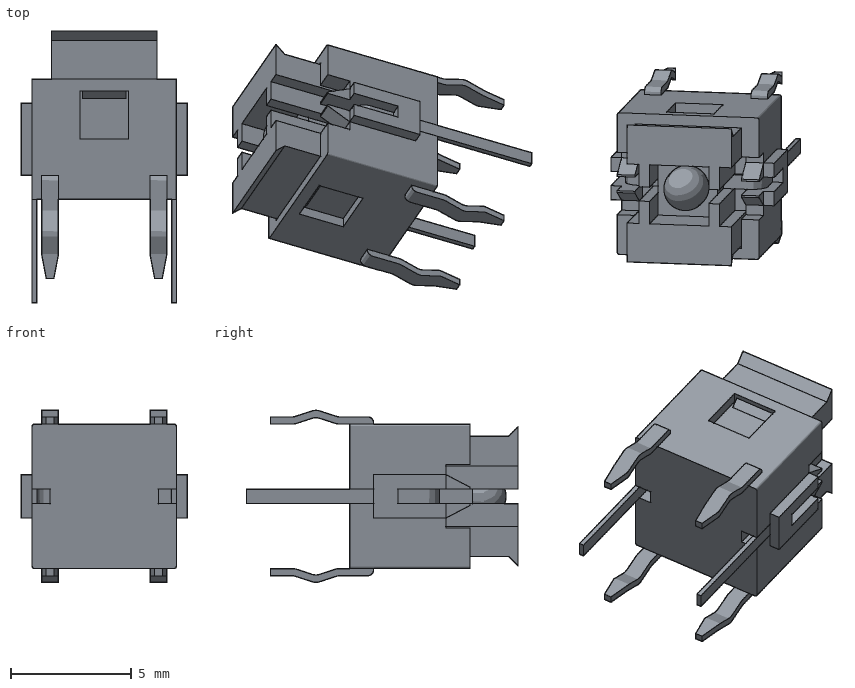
import cadquery as cq
import math


HOUSING_SIZE = 6.0
HOUSING_DEPTH = 5.0
HOUSING_EDGE_RADIUS = 0.1
HALF_HOUSING = HOUSING_SIZE / 2
CAVITY_FLOOR_Y = 2.0
CAP_CLEARANCE = 0.05

WINDOW_WIDTH = 2.0
WINDOW_START_Y = 2.5
WINDOW_END_Y = 4.5

EAR_PROJECTION = 0.45
EAR_HEIGHT = 1.8
EAR_START_Y = 1.0
EAR_END_Y = 4.0
EAR_SLOT_START_Y = 2.0
NOTCH_HEIGHT = 2.64
PRONG_TIP_HALF_HEIGHT = 0.38

CAP_WIDTH = 4.4
CAP_HEIGHT = 5.0
CAP_FACE_Y = 7.0
CAP_FLARE = 0.4
CAP_RECESS_HEIGHT = 2.5
CAP_RECESS_DEPTH = 0.5
CAP_POCKET_WIDTH = 2.5
CAP_POCKET_FLOOR_Y = 3.5
LATCH_WIDTH = 1.8
LATCH_SIZE = 0.3

LENS_RADIUS = 0.9
LED_BASE_TOP_Y = 5.1
LED_TOP_Y = 6.5

LEAD_WIDTH = 0.6
LEAD_THICKNESS = 0.2
LEAD_END_Y = -4.29
LEAD_SHELF_Y = 3.73
LEAD_OUTER_RADIUS = 0.7

PIN_PITCH = 4.5
PIN_WIDTH = 0.7
PIN_TIP_WIDTH = 0.32
PIN_THICKNESS = 0.3
PIN_START_Y = 1.0
PIN_KINK_START_Y = -0.5
PIN_KINK_PEAK_Y = -1.4
PIN_KINK_END_Y = -2.3
PIN_END_Y = -3.29
PIN_KINK_RISE = 0.294
PIN_END_RADIUS = 0.25
PIN_BEND_RADIUS = 0.5


def box(x_range, y_range, z_range):
    """Rectangular block spanning the given ranges."""
    spans = [high - low for low, high in (x_range, y_range, z_range)]
    return (
        cq.Workplane("XY")
        .box(*spans, centered=False)
        .translate((x_range[0], y_range[0], z_range[0]))
    )


def centered(size):
    """Range of the given size about zero."""
    return (-size / 2, size / 2)


def mirrored_x(shape):
    return shape.mirror("YZ")


def mirrored_z(shape):
    return shape.mirror("XY")


def left_prongs(inner_x):
    """Two tapered prongs that continue the left wall forward from the ear into the notch."""
    half_ear = EAR_HEIGHT / 2
    outline = [
        (EAR_END_Y, -half_ear),
        (HOUSING_DEPTH, -PRONG_TIP_HALF_HEIGHT),
        (HOUSING_DEPTH, PRONG_TIP_HALF_HEIGHT),
        (EAR_END_Y, half_ear),
    ]
    return (
        cq.Workplane("YZ", origin=(-HALF_HOUSING, 0, 0))
        .polyline(outline)
        .close()
        .extrude(inner_x + HALF_HOUSING)
    )


def make_housing():
    body = box(centered(HOUSING_SIZE), (0, HOUSING_DEPTH), centered(HOUSING_SIZE))
    body = body.edges("|Y").fillet(HOUSING_EDGE_RADIUS)

    cavity_width = CAP_WIDTH + 2 * CAP_CLEARANCE
    cavity_height = CAP_HEIGHT + 2 * CAP_CLEARANCE
    body = body.cut(box(centered(cavity_width), (CAVITY_FLOOR_Y, HOUSING_DEPTH), centered(cavity_height)))
    body = body.cut(box(centered(WINDOW_WIDTH), (WINDOW_START_Y, WINDOW_END_Y), centered(HOUSING_SIZE)))

    wall_x = (-HALF_HOUSING, -cavity_width / 2)
    ear_x = (-HALF_HOUSING - EAR_PROJECTION, -HALF_HOUSING)
    notch = box(wall_x, (EAR_END_Y, HOUSING_DEPTH), centered(NOTCH_HEIGHT))
    notch = notch.cut(left_prongs(wall_x[1]))
    lead_slot = box(wall_x, (0, HOUSING_DEPTH), centered(LEAD_WIDTH))
    ear = box(ear_x, (EAR_START_Y, EAR_END_Y), centered(EAR_HEIGHT))
    ear = ear.cut(box(ear_x, (EAR_SLOT_START_Y, EAR_END_Y), centered(LEAD_WIDTH)))

    for cutter in (notch, lead_slot):
        body = body.cut(cutter).cut(mirrored_x(cutter))
    return body.union(ear).union(mirrored_x(ear))


def make_cap():
    half_height = CAP_HEIGHT / 2
    flare_start_y = CAP_FACE_Y - CAP_FLARE
    profile = [
        (CAVITY_FLOOR_Y, -half_height),
        (flare_start_y, -half_height),
        (CAP_FACE_Y, -half_height - CAP_FLARE),
        (CAP_FACE_Y, half_height + CAP_FLARE),
        (flare_start_y, half_height),
        (CAVITY_FLOOR_Y, half_height),
    ]
    body = cq.Workplane("YZ").polyline(profile).close().extrude(CAP_WIDTH / 2, both=True)

    open_y = (CAP_POCKET_FLOOR_Y, CAP_FACE_Y)
    recess_x = (-CAP_WIDTH / 2, -CAP_WIDTH / 2 + CAP_RECESS_DEPTH)
    recess = box(recess_x, open_y, centered(CAP_RECESS_HEIGHT))
    body = body.cut(recess).cut(mirrored_x(recess))
    body = body.cut(box(centered(CAP_POCKET_WIDTH), open_y, centered(CAP_POCKET_WIDTH)))
    body = body.cut(box(centered(CAP_WIDTH), open_y, centered(LEAD_WIDTH)))

    latch = (
        cq.Workplane("YZ")
        .moveTo(WINDOW_END_Y - LATCH_SIZE, half_height)
        .lineTo(WINDOW_END_Y, half_height)
        .lineTo(WINDOW_END_Y, half_height + LATCH_SIZE)
        .close()
        .extrude(LATCH_WIDTH / 2, both=True)
    )
    return body.union(latch).union(mirrored_z(latch))


def make_led():
    base = box(centered(CAP_POCKET_WIDTH), (CAP_POCKET_FLOOR_Y, LED_BASE_TOP_Y), centered(CAP_POCKET_WIDTH))
    dome_center_y = LED_TOP_Y - LENS_RADIUS
    arc_offset = LENS_RADIUS * math.sqrt(0.5)
    lens = (
        cq.Workplane("XY")
        .moveTo(0, LED_BASE_TOP_Y)
        .lineTo(LENS_RADIUS, LED_BASE_TOP_Y)
        .lineTo(LENS_RADIUS, dome_center_y)
        .threePointArc((arc_offset, dome_center_y + arc_offset), (0, LED_TOP_Y))
        .close()
        .revolve(360, (0, 0, 0), (0, 1, 0))
    )
    return base.union(lens)


def make_left_lead():
    """Flat strip flush with the housing side, bent inward to the LED base."""
    outer_x = -HALF_HOUSING
    inner_x = outer_x + LEAD_THICKNESS
    bend_x = outer_x + LEAD_OUTER_RADIUS
    bend_y = LEAD_SHELF_Y - LEAD_OUTER_RADIUS
    inner_radius = LEAD_OUTER_RADIUS - LEAD_THICKNESS
    led_x = -CAP_POCKET_WIDTH / 2
    return (
        cq.Workplane("XY")
        .moveTo(outer_x, LEAD_END_Y)
        .lineTo(outer_x, bend_y)
        .radiusArc((bend_x, LEAD_SHELF_Y), LEAD_OUTER_RADIUS)
        .lineTo(led_x, LEAD_SHELF_Y)
        .lineTo(led_x, LEAD_SHELF_Y - LEAD_THICKNESS)
        .lineTo(bend_x, LEAD_SHELF_Y - LEAD_THICKNESS)
        .radiusArc((inner_x, bend_y), -inner_radius)
        .lineTo(inner_x, LEAD_END_Y)
        .close()
        .extrude(LEAD_WIDTH / 2, both=True)
    )


def make_top_pin(center_x):
    """Pin lying on the housing's top wall, with a retaining kink and a tapered tip."""
    kink_angle = math.atan2(PIN_KINK_RISE, PIN_KINK_START_Y - PIN_KINK_PEAK_Y)
    miter_shift = PIN_THICKNESS / 2 * math.tan(kink_angle / 2)
    peak_thickness = PIN_THICKNESS / math.cos(kink_angle)
    bottom_z = HALF_HOUSING
    top_z = bottom_z + PIN_THICKNESS
    peak_top_z = bottom_z + PIN_KINK_RISE + (PIN_THICKNESS + peak_thickness) / 2
    outer_feet = (PIN_KINK_START_Y + miter_shift, PIN_KINK_END_Y - miter_shift)
    inner_feet = (PIN_KINK_START_Y - miter_shift, PIN_KINK_END_Y + miter_shift)
    top_bends = [
        (outer_feet[0], top_z),
        (PIN_KINK_PEAK_Y, peak_top_z),
        (outer_feet[1], top_z),
    ]
    bottom_bends = [
        (inner_feet[1], bottom_z),
        (PIN_KINK_PEAK_Y, peak_top_z - peak_thickness),
        (inner_feet[0], bottom_z),
    ]
    profile = [
        (PIN_START_Y, top_z),
        *top_bends,
        (PIN_END_Y, top_z),
        (PIN_END_Y, bottom_z),
        *bottom_bends,
        (PIN_START_Y, bottom_z),
    ]
    half_width = PIN_WIDTH / 2
    strip = cq.Workplane("YZ").polyline(profile).close().extrude(half_width, both=True)

    def edge_at(y, z):
        reach = PIN_THICKNESS / 10
        return cq.selectors.BoxSelector((-reach, y - reach, z - reach), (reach, y + reach, z + reach))

    strip = strip.edges(edge_at(PIN_START_Y, top_z)).fillet(PIN_END_RADIUS)
    for y, z in top_bends + bottom_bends:
        strip = strip.edges(edge_at(y, z)).fillet(PIN_BEND_RADIUS)

    half_tip = PIN_TIP_WIDTH / 2
    plan = [
        (-half_width, PIN_START_Y),
        (half_width, PIN_START_Y),
        (half_width, PIN_KINK_END_Y),
        (half_tip, PIN_END_Y),
        (-half_tip, PIN_END_Y),
        (-half_width, PIN_KINK_END_Y),
    ]
    envelope = cq.Workplane("XY").polyline(plan).close().extrude(HOUSING_SIZE)
    return strip.intersect(envelope).translate((center_x, 0, 0))


housing = make_housing()
cap = make_cap()
led = make_led()

left_lead = make_left_lead()
leads = [left_lead, mirrored_x(left_lead)]

pins = []
for pin_x in centered(PIN_PITCH):
    top_pin = make_top_pin(pin_x)
    pins += [top_pin, mirrored_z(top_pin)]

bodies = [housing, cap, led, *leads, *pins]
result = cq.Compound.makeCompound([body.solids().val() for body in bodies])